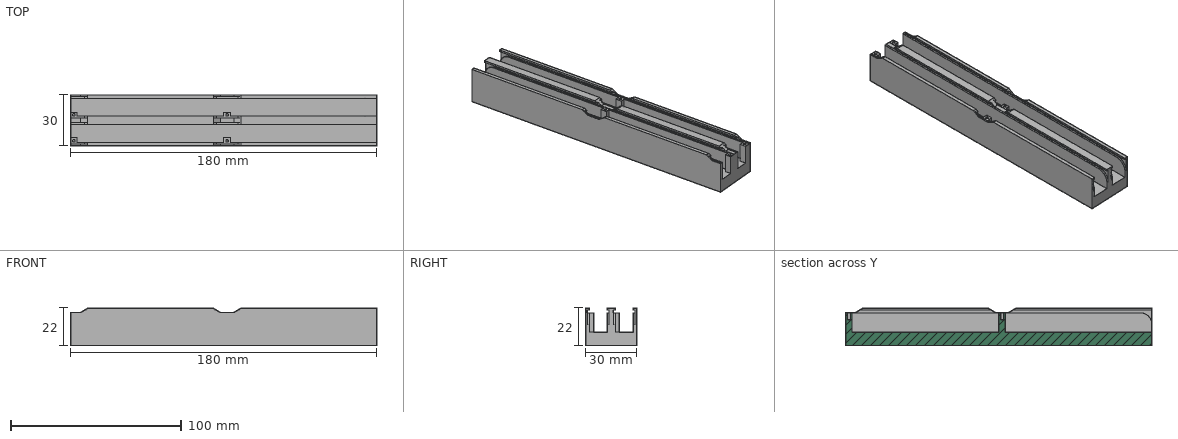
import cadquery as cq

length = 180.0
width = 30.0
height = 22.0

outer_wall = 2.2
center_wall = 4.9
floor_height = 8.0

neck_bottom = 19.3
lip_bottom = 20.9
undercut_depth = 1.0
flare_radius = 6.8

station_pitch = 90.0
notch_floor = 19.5
notch_flat = 8.0
notch_ramp = 4.1
post_length = 4.0
outer_post_reach = 2.7
center_post_reach = 2.3
post_hole_diameter = 1.5
post_hole_depth = 4.0
hole_to_wall = 0.81

channel_width = (width - center_wall) / 2 - outer_wall
channel_center = (center_wall + channel_width) / 2
station_starts = [0.0, station_pitch]
post_faces = [
    (outer_wall - width / 2, outer_post_reach),
    (center_wall / 2, center_post_reach),
]


def box(x_size, y_start, y_end, z_start, z_end, x_start=0.0):
    """Box given by its length along X and its limits along Y and Z."""
    return cq.Workplane("XY").box(
        x_size, y_end - y_start, z_end - z_start, centered=False
    ).translate((x_start, y_start, z_start))


def undercut(y_center):
    """Groove under the lips on both sides of a channel, with a rounded drop of its floor at the +X end."""
    undercut_width = channel_width + 2 * undercut_depth
    return (
        cq.Workplane("XZ", origin=(0, y_center + undercut_width / 2, 0))
        .moveTo(0, lip_bottom)
        .lineTo(0, neck_bottom)
        .lineTo(length - flare_radius, neck_bottom)
        .radiusArc((length, neck_bottom - flare_radius), flare_radius)
        .lineTo(length, lip_bottom)
        .close()
        .extrude(undercut_width)
    )


def channel(y_center):
    """Open channel along the whole block, with its undercut side walls."""
    half_width = channel_width / 2
    slot = box(length, y_center - half_width, y_center + half_width, floor_height, height)
    return slot.union(undercut(y_center))


def notch(x_center):
    """Trapezoidal dip across all rails."""
    half_flat = notch_flat / 2
    half_top = half_flat + notch_ramp
    return (
        cq.Workplane("XZ", origin=(x_center, width / 2, 0))
        .moveTo(-half_top, height)
        .lineTo(-half_flat, notch_floor)
        .lineTo(half_flat, notch_floor)
        .lineTo(half_top, height)
        .close()
        .extrude(width)
    )


def post(x_start, face_y, reach):
    """Post rising from the channel floor to the groove floor, flat against a wall face."""
    return box(post_length, face_y, face_y + reach, floor_height, neck_bottom, x_start)


def post_hole(x_center, face_y):
    """Blind hole in the top of a post."""
    return (
        cq.Workplane("XY", origin=(x_center, face_y + hole_to_wall, neck_bottom))
        .circle(post_hole_diameter / 2)
        .extrude(-post_hole_depth)
    )


result = box(length, -width / 2, width / 2, 0, height)
for side in (-1, 1):
    result = result.cut(channel(side * channel_center))
for station_start in station_starts:
    station_center = station_start + post_length / 2
    result = result.cut(notch(station_center))
    for face_y, reach in post_faces:
        result = result.union(post(station_start, face_y, reach))
        result = result.cut(post_hole(station_center, face_y))